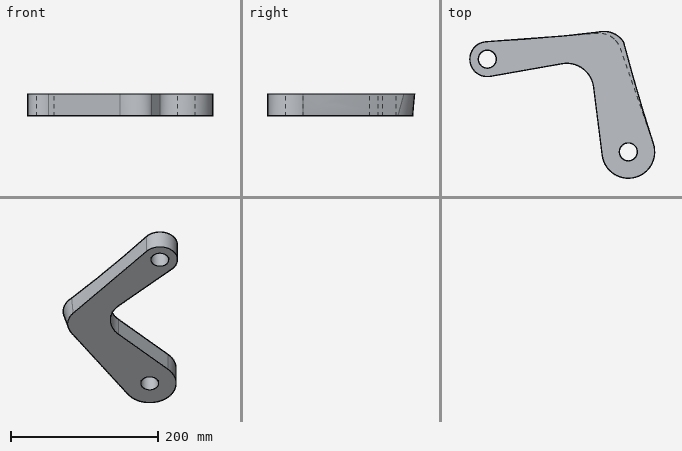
import cadquery as cq
import math

thickness = 30.0
small_end = (0.0, 0.0)
small_radius = 23.9
large_end = (191.5, -126.0)
large_radius = 36.0
hole_diameter = 24.0

small_arm_angle = 10.0
large_arm_angle = -82.8
inner_radius = 36.5

lower_elbow = (152.0, 5.0)
elbow_radius = 30.2

upper_elbow_start = (150.8, 37.0)
upper_elbow_middle = (176.2, 32.5)
upper_elbow_end = (185.2, 23.0)
small_arm_hollow = 1.5
large_arm_hollow = 1.0


def on_circle(center, radius, angle):
    a = math.radians(angle)
    return (center[0] + radius * math.cos(a), center[1] + radius * math.sin(a))


def outer_tangent(center_a, radius_a, center_b, radius_b):
    """Angle of the normal to the tangent line left of the direction from a to b."""
    dx = center_b[0] - center_a[0]
    dy = center_b[1] - center_a[1]
    heading = math.degrees(math.atan2(dy, dx))
    return heading + math.degrees(math.acos((radius_a - radius_b) / math.hypot(dx, dy)))


def line_crossing(point_a, angle_a, point_b, angle_b):
    a = math.radians(angle_a)
    b = math.radians(angle_b)
    dx = point_b[0] - point_a[0]
    dy = point_b[1] - point_a[1]
    distance = (dx * math.sin(b) - dy * math.cos(b)) / math.sin(b - a)
    return (point_a[0] + distance * math.cos(a), point_a[1] + distance * math.sin(a))


def hollow_middle(start, end, depth):
    """Midpoint of a chord, moved by depth to the right of its direction."""
    dx = end[0] - start[0]
    dy = end[1] - start[1]
    length = math.hypot(dx, dy)
    middle_x = (start[0] + end[0]) / 2
    middle_y = (start[1] + end[1]) / 2
    return (middle_x + depth * dy / length, middle_y - depth * dx / length)


small_normal = outer_tangent(small_end, small_radius, lower_elbow, elbow_radius)
large_normal = outer_tangent(lower_elbow, elbow_radius, large_end, large_radius)
small_outer = on_circle(small_end, small_radius, small_normal)
small_inner = on_circle(small_end, small_radius, small_arm_angle - 90)
small_tip = on_circle(small_end, small_radius, 180)
large_outer = on_circle(large_end, large_radius, large_normal)
large_inner = on_circle(large_end, large_radius, large_arm_angle - 90)
large_tip = on_circle(large_end, large_radius, -90)

inner_center = line_crossing(
    on_circle(small_end, small_radius + inner_radius, small_arm_angle - 90),
    small_arm_angle,
    on_circle(large_end, large_radius + inner_radius, large_arm_angle - 90),
    large_arm_angle,
)
inner_start = on_circle(inner_center, inner_radius, large_arm_angle + 90)
inner_middle = on_circle(inner_center, inner_radius, (small_arm_angle + large_arm_angle) / 2 + 90)
inner_end = on_circle(inner_center, inner_radius, small_arm_angle + 90)


def finish_outline(sketch):
    """Close an outline from the outer side of the large end back to the small end."""
    return (
        sketch.threePointArc(large_tip, large_inner)
        .lineTo(*inner_start)
        .threePointArc(inner_middle, inner_end)
        .lineTo(*small_inner)
        .threePointArc(small_tip, small_outer)
        .close()
    )


def lower_outline(sketch):
    sketch = (
        sketch.moveTo(*small_outer)
        .lineTo(*on_circle(lower_elbow, elbow_radius, small_normal))
        .threePointArc(
            on_circle(lower_elbow, elbow_radius, (small_normal + large_normal) / 2),
            on_circle(lower_elbow, elbow_radius, large_normal),
        )
        .lineTo(*large_outer)
    )
    return finish_outline(sketch)


def upper_outline(sketch):
    sketch = (
        sketch.moveTo(*small_outer)
        .threePointArc(
            hollow_middle(small_outer, upper_elbow_start, small_arm_hollow),
            upper_elbow_start,
        )
        .threePointArc(upper_elbow_middle, upper_elbow_end)
        .threePointArc(
            hollow_middle(upper_elbow_end, large_outer, large_arm_hollow),
            large_outer,
        )
    )
    return finish_outline(sketch)


lower_face = lower_outline(cq.Workplane("XY"))
body = upper_outline(lower_face.workplane(offset=thickness)).loft(ruled=True, combine=True)

holes = (
    cq.Workplane("XY")
    .pushPoints([small_end, large_end])
    .circle(hole_diameter / 2)
    .extrude(thickness)
)
result = body.cut(holes)